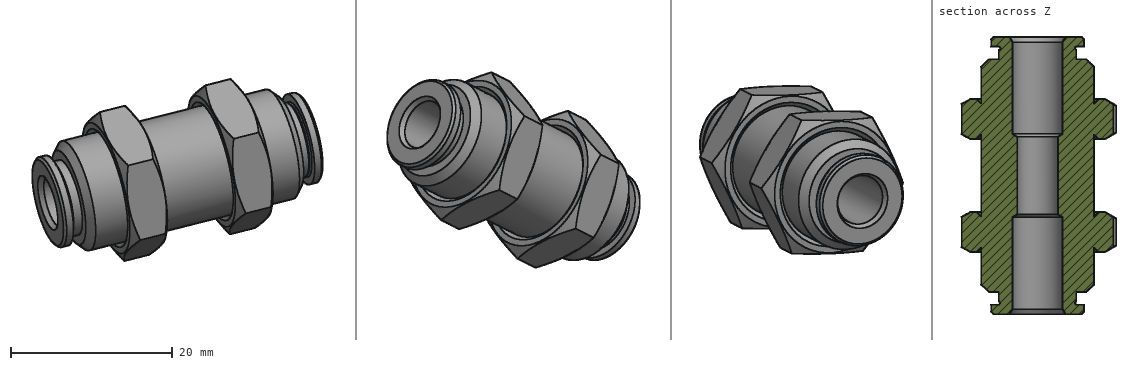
import cadquery as cq
import math

length = 34.4
half_length = length / 2
body_radius = 7.02
body_inset = 2.75
body_chamfer_length = 0.93
body_chamfer_depth = 1.0

flange_radius = 5.78
flange_thickness = 1.2
flange_chamfer = 0.3
neck_radius = 4.82
groove_depth = 0.2
groove_width = 0.4

bore_radius = 2.5
socket_radius = 3.1
socket_depth = 12.05
mouth_chamfer_depth = 0.38
mouth_chamfer_length = 0.65
stop_angle = 59.0

across_flats = 17.0
across_corners = across_flats / math.cos(math.radians(30))
nut_thickness = 5.0
nut_inset = 7.7
nut_tilt = 4.4
nut_face_radius = 8.35
nut_chamfer_angle = 30.0
nut_mouth_radius = 7.57


def revolve_about_y(profile):
    """Revolve closed (radius, y) points about the Y axis."""
    return cq.Workplane("XY").polyline(profile).close().revolve(360, (0, 0, 0), (0, 1, 0))


def make_body():
    """The body with a sleeve and socket at each end."""
    flange_inner = half_length - flange_thickness
    body_end = half_length - body_inset
    socket_floor = half_length - socket_depth
    stop_length = (socket_radius - bore_radius) / math.tan(math.radians(stop_angle))
    half_profile = [
        (body_radius, body_end - body_chamfer_length),
        (body_radius - body_chamfer_depth, body_end),
        (neck_radius, body_end),
        (neck_radius, flange_inner - groove_width),
        (neck_radius - groove_depth, flange_inner - groove_width / 2),
        (neck_radius, flange_inner),
        (flange_radius, flange_inner),
        (flange_radius, half_length - flange_chamfer),
        (flange_radius - flange_chamfer, half_length),
        (socket_radius + mouth_chamfer_depth, half_length),
        (socket_radius, half_length - mouth_chamfer_length),
        (socket_radius, socket_floor),
        (bore_radius, socket_floor - stop_length),
    ]
    mirrored_profile = [(radius, -y) for radius, y in reversed(half_profile)]
    return revolve_about_y(half_profile + mirrored_profile)


def make_nut():
    """The +Y nut: a hexagon with coned corners and countersunk hole."""
    outer_y = half_length - nut_inset
    inner_y = outer_y - nut_thickness
    corner_radius = across_corners / 2
    corner_drop = (corner_radius - nut_face_radius) * math.tan(math.radians(nut_chamfer_angle))
    countersink = nut_mouth_radius - body_radius
    hexagon = (
        cq.Workplane("XZ", origin=(0, outer_y, 0))
        .polygon(6, across_corners)
        .extrude(nut_thickness)
        .rotate((0, 0, 0), (0, 1, 0), nut_tilt)
    )
    envelope = revolve_about_y([
        (body_radius, inner_y + countersink),
        (nut_mouth_radius, inner_y),
        (nut_face_radius, inner_y),
        (corner_radius, inner_y + corner_drop),
        (corner_radius, outer_y - corner_drop),
        (nut_face_radius, outer_y),
        (nut_mouth_radius, outer_y),
        (body_radius, outer_y - countersink),
    ])
    return hexagon.intersect(envelope)


nut = make_nut()
result = make_body().union(nut).union(nut.mirror("XZ"))